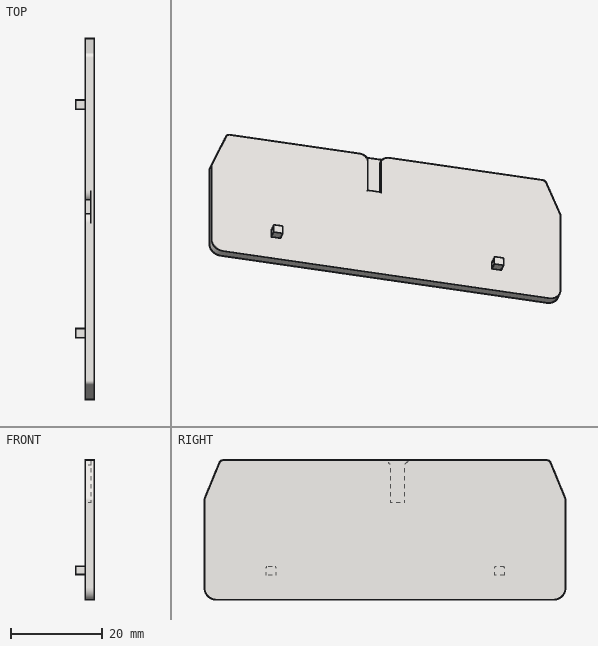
import cadquery as cq

PLATE_LENGTH = 79.05
PLATE_HEIGHT = 30.6
PLATE_THICKNESS = 2.0
SHOULDER_HEIGHT = 22.1
SHOULDER_INSET = 3.5
TOP_CORNER_RADIUS = 1.0
SHOULDER_RADIUS = 1.5
BOTTOM_CORNER_RADIUS = 2.6

PEG_LENGTH = 2.05
PEG_WIDTH = 2.1
PEG_HEIGHT = 1.9
PEG_BOTTOM = 5.5
PEG_OFFSET = 25.0
PEG_CORNER_RADIUS = 0.3

SLOT_WIDTH = 3.1
SLOT_LENGTH = 9.3
SLOT_DEPTH = 1.2
SLOT_CENTER = 2.65
MOUTH_FLARE_WIDTH = 1.9
MOUTH_FLARE_DEPTH = 1.0


def make_plate():
    """Plate with sloping upper corners, all outline corners rounded."""
    half_length = PLATE_LENGTH / 2
    half_top = half_length - SHOULDER_INSET
    plate = (
        cq.Workplane("YZ")
        .moveTo(-half_length, 0)
        .lineTo(half_length, 0)
        .lineTo(half_length, SHOULDER_HEIGHT)
        .lineTo(half_top, PLATE_HEIGHT)
        .lineTo(-half_top, PLATE_HEIGHT)
        .lineTo(-half_length, SHOULDER_HEIGHT)
        .close()
        .extrude(PLATE_THICKNESS)
    )
    plate = plate.edges("|X and <Z").fillet(BOTTOM_CORNER_RADIUS)
    plate = plate.edges("|X and >Z").fillet(TOP_CORNER_RADIUS)
    shoulders = cq.selectors.BoxSelector(
        (-PLATE_THICKNESS, -PLATE_LENGTH, SHOULDER_HEIGHT - SHOULDER_RADIUS),
        (2 * PLATE_THICKNESS, PLATE_LENGTH, SHOULDER_HEIGHT + SHOULDER_RADIUS),
    )
    return plate.edges("|X").edges(shoulders).fillet(SHOULDER_RADIUS)


def make_peg(center_y):
    """Rectangular peg with its two upper long edges rounded."""
    return (
        cq.Workplane("XY")
        .box(PEG_LENGTH, PEG_WIDTH, PEG_HEIGHT, centered=(False, True, False))
        .edges("|X and >Z")
        .fillet(PEG_CORNER_RADIUS)
        .translate((-PEG_LENGTH, center_y, PEG_BOTTOM))
    )


def make_slot():
    """Slot volume whose mouth flares outwards along two arcs tangent to the top edge."""
    half_width = SLOT_WIDTH / 2
    half_mouth = half_width + MOUTH_FLARE_WIDTH
    flare_start = PLATE_HEIGHT - MOUTH_FLARE_DEPTH
    flare_radius = (MOUTH_FLARE_WIDTH**2 + MOUTH_FLARE_DEPTH**2) / (2 * MOUTH_FLARE_DEPTH)
    bottom = PLATE_HEIGHT - SLOT_LENGTH
    return (
        cq.Workplane("YZ")
        .moveTo(-half_width, bottom)
        .lineTo(half_width, bottom)
        .lineTo(half_width, flare_start)
        .radiusArc((half_mouth, PLATE_HEIGHT), flare_radius)
        .lineTo(-half_mouth, PLATE_HEIGHT)
        .radiusArc((-half_width, flare_start), flare_radius)
        .close()
        .extrude(SLOT_DEPTH)
        .translate((0, SLOT_CENTER, 0))
    )


result = make_plate().cut(make_slot())
for side in (-1, 1):
    result = result.union(make_peg(side * PEG_OFFSET))